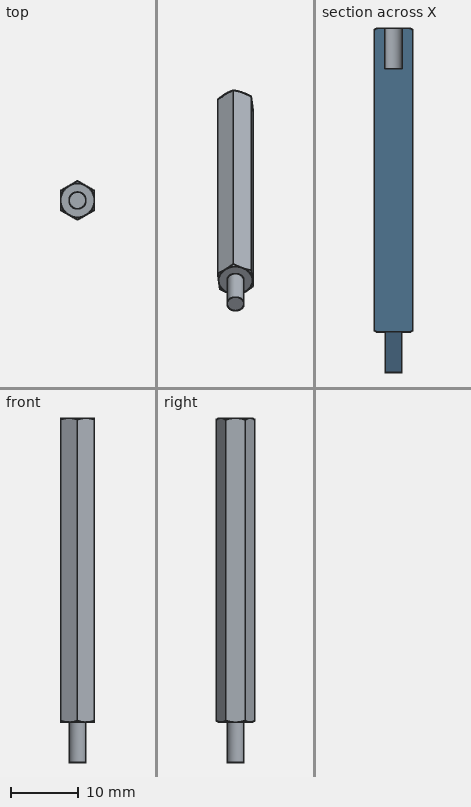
import cadquery as cq
import math

across_flats = 5.0
hex_length = 45.0
stud_diameter = 2.5
stud_length = 6.0
hole_diameter = stud_diameter
hole_depth = stud_length
corner_angle = 30.0

hex_sides = 6
across_corners = across_flats / math.cos(math.pi / hex_sides)
flat_radius = across_flats / 2
corner_radius = across_corners / 2
corner_drop = (corner_radius - flat_radius) * math.tan(math.radians(corner_angle))


def make_corner_envelope():
    """Round bar with coned ends that trims the hexagon corners at both ends."""
    return (
        cq.Workplane("XZ")
        .moveTo(0, 0)
        .lineTo(flat_radius, 0)
        .lineTo(corner_radius, corner_drop)
        .lineTo(corner_radius, hex_length - corner_drop)
        .lineTo(flat_radius, hex_length)
        .lineTo(0, hex_length)
        .close()
        .revolve(360, (0, 0), (0, 1))
    )


def make_hex_body():
    """Hexagonal bar with two corners on the Y axis and a blind hole in its top end."""
    bar = (
        cq.Workplane("XY")
        .transformed(rotate=(0, 0, 90))
        .polygon(hex_sides, across_corners)
        .extrude(hex_length)
        .intersect(make_corner_envelope())
    )
    top_hole = (
        cq.Workplane("XY", origin=(0, 0, hex_length - hole_depth))
        .circle(hole_diameter / 2)
        .extrude(hole_depth)
    )
    return bar.cut(top_hole)


def make_stud():
    """Plain round stud standing against the bottom face of the hexagonal bar."""
    return cq.Workplane("XY").circle(stud_diameter / 2).extrude(-stud_length)


hex_body = make_hex_body().solids()
stud = make_stud()

result = cq.Compound.makeCompound([hex_body.val(), stud.val()])